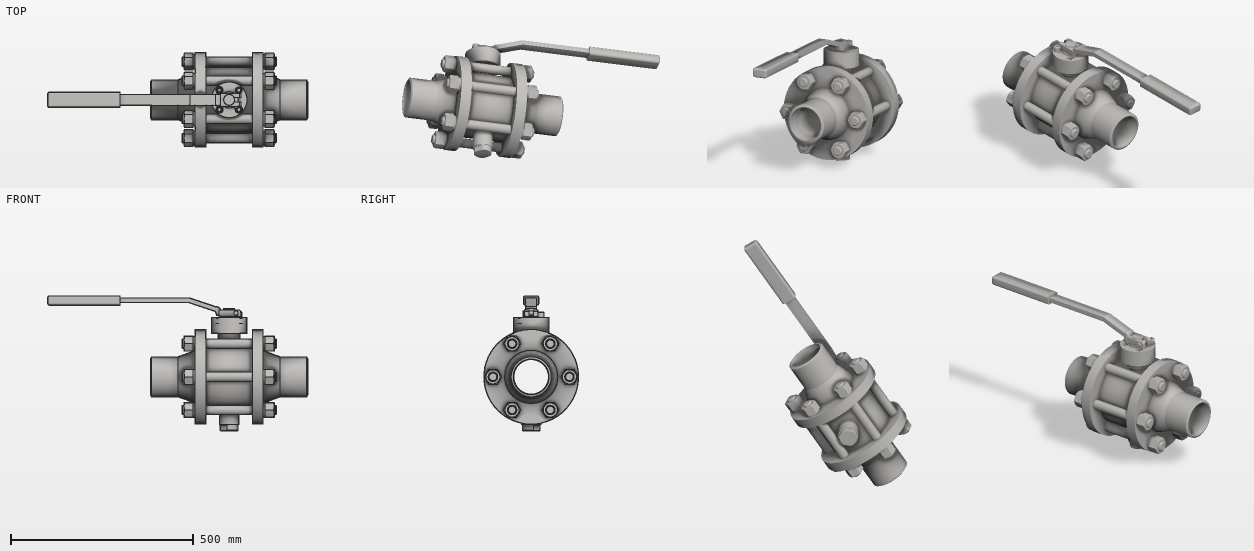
import cadquery as cq
import math


pipe_outer_dia = 110
bore_dia = 95
pipe_end_x = 216
weld_bevel_length = 3.5
weld_face_dia = 98
cone_start_x = 140
cone_base_dia = 146
flange_dia = 260
flange_outer_x = 93
flange_inner_x = 64
body_dia = 180

rod_count = 6
rod_circle_radius = 105
rod_dia = 26
rod_end_x = 130
rod_end_chamfer = 2.5
nut_across_flats = 41
nut_face_dia = 39
nut_chamfer_angle = math.radians(30)
nut_outer_x = 124
washer_outer_x = 99
washer_dia = 40

neck_dia = 61
neck_bottom_z = 100.5
waist_dia = 46
skirt_top_z = 89.5
skirt_bottom_z = 86
mount_dia = 98
mount_bottom_z = 119
mount_top_z = 163
stem_dia = 30
stem_top_z = 187
stem_collar_dia = 45
stem_collar_height = 3

screw_offset = 26.5
screw_head_dia = 18
screw_head_height = 15
screw_head_chamfer = 1.5
screw_socket_across_flats = 10
screw_socket_depth = 6
screw_recess_dia = 20
screw_recess_depth = 16

boss_dia = 54
boss_bottom_z = -131
plug_dia = 49
plug_bottom_z = -148
plug_chamfer = 1.5
plug_flat_distance = 21.2
plug_flat_gap = 3
plug_flat_angles = (45, 225)

hub_half_width = 18
hub_start_x = -28
hub_end_x = 32
hub_end_chamfer = 4
hub_bottom_z = mount_top_z + stem_collar_height
hub_top_z = 184
clamp_slot_width = 13
clamp_bolt_x = 19
clamp_bolt_z = 175
clamp_bolt_dia = 12
clamp_bolt_head = 4.5
bar_width = 30
bar_thickness = 13
bar_top_z = 216.5
bar_slope = math.radians(18.5)
bar_bend_x = -108
bar_heel_x = -38
bar_foot_x = -34
bar_foot_z = 168.5
bar_crest_x = -30.5
bar_crest_z = 191.5
bar_end_x = -23.5
bar_kink_x = -37.5
grip_left_x = -497.98
grip_length = 199
grip_width = 42
grip_height = 26
grip_top_z = 222.43
grip_edge_fillet = 6
grip_end_fillet = 5.5

hex_corner_ratio = 2 / math.sqrt(3)


def cylinder_x(dia, x_start, x_end):
    """Solid cylinder on the X axis."""
    return cq.Workplane("YZ", origin=(x_start, 0, 0)).circle(dia / 2).extrude(x_end - x_start)


def cylinder_z(dia, z_start, z_end, x=0, y=0):
    """Solid cylinder parallel to Z."""
    return cq.Workplane("XY", origin=(x, y, z_start)).circle(dia / 2).extrude(z_end - z_start)


def box_between(x_range, y_range, z_range):
    """Box given by its limits along X, Y and Z."""
    sizes = [high - low for low, high in (x_range, y_range, z_range)]
    corner = (x_range[0], y_range[0], z_range[0])
    return cq.Workplane("XY").box(*sizes, centered=False).translate(corner)


def end_piece():
    """Flange, cone and bevelled welding end on the +X side."""
    profile = [
        (flange_inner_x, 0),
        (flange_inner_x, flange_dia / 2),
        (flange_outer_x, flange_dia / 2),
        (flange_outer_x, cone_base_dia / 2),
        (cone_start_x, pipe_outer_dia / 2),
        (pipe_end_x - weld_bevel_length, pipe_outer_dia / 2),
        (pipe_end_x, weld_face_dia / 2),
        (pipe_end_x, 0),
    ]
    return cq.Workplane("XY").polyline(profile).close().revolve(360, (0, 0, 0), (1, 0, 0))


def nut():
    """Hexagon nut on the +X side with its outer corners turned off by a cone."""
    length = nut_outer_x - washer_outer_x
    corner_dia = nut_across_flats * hex_corner_ratio
    corner_width = (corner_dia - nut_face_dia) / 2
    corner_drop = corner_width * math.tan(nut_chamfer_angle)
    blank = cq.Workplane("YZ", origin=(washer_outer_x, 0, 0)).polygon(6, corner_dia).extrude(length)
    turned = cylinder_x(corner_dia, washer_outer_x, nut_outer_x)
    turned = turned.faces(">X").chamfer(corner_drop, corner_width)
    return blank.intersect(turned)


def tie_rod():
    """One rod with a washer and a nut on each end, centred on the X axis."""
    rod = cylinder_x(rod_dia, -rod_end_x, rod_end_x).faces("<X or >X").chamfer(rod_end_chamfer)
    fastener = nut().union(cylinder_x(washer_dia, flange_outer_x, washer_outer_x))
    return rod.union(fastener).union(fastener.mirror("YZ"))


def flow_line():
    """Centre body between the two mirrored end pieces, with the tie rods around it."""
    shape = cylinder_x(body_dia, -flange_inner_x, flange_inner_x)
    shape = shape.union(end_piece()).union(end_piece().mirror("YZ"))
    for index in range(rod_count):
        angle = 2 * math.pi * index / rod_count
        y = rod_circle_radius * math.cos(angle)
        z = rod_circle_radius * math.sin(angle)
        shape = shape.union(tie_rod().translate((0, y, z)))
    return shape


def cap_screw(x, y, seat_z):
    """Head of a socket screw standing on seat_z."""
    head = cylinder_z(screw_head_dia, seat_z, seat_z + screw_head_height, x, y)
    head = head.faces(">Z").chamfer(screw_head_chamfer)
    socket_start = (x, y, seat_z + screw_head_height - screw_socket_depth)
    socket = cq.Workplane("XY", origin=socket_start)
    socket = socket.polygon(6, screw_socket_across_flats * hex_corner_ratio).extrude(screw_socket_depth)
    return head.cut(socket)


def waisted_neck():
    """Round neck with a narrower waist that flares onto the body in a conical skirt."""
    profile = [
        (0, 0),
        (neck_dia / 2, 0),
        (neck_dia / 2, skirt_bottom_z),
        (waist_dia / 2, skirt_top_z),
        (waist_dia / 2, neck_bottom_z),
        (neck_dia / 2, neck_bottom_z),
        (neck_dia / 2, mount_bottom_z),
        (0, mount_bottom_z),
    ]
    return cq.Workplane("XZ").polyline(profile).close().revolve(360, (0, 0, 0), (0, 1, 0))


def stem_column():
    """Neck, round mount with cap screws, collar and stem."""
    column = waisted_neck().union(cylinder_z(mount_dia, mount_bottom_z, mount_top_z))
    recess_z = mount_top_z - screw_recess_depth
    for x_sign in (-1, 1):
        for y_sign in (-1, 1):
            x = x_sign * screw_offset
            y = y_sign * screw_offset
            if x_sign > 0 and y_sign > 0:
                column = column.union(cap_screw(x, y, mount_top_z))
                continue
            column = column.cut(cylinder_z(screw_recess_dia, recess_z, mount_top_z, x, y))
            column = column.union(cap_screw(x, y, recess_z))
    collar_top_z = mount_top_z + stem_collar_height
    column = column.union(cylinder_z(stem_collar_dia, mount_top_z, collar_top_z))
    return column.union(cylinder_z(stem_dia, mount_top_z, stem_top_z))


def bottom_plug():
    """Round boss under the body and its plug with two opposite wrench flats."""
    boss = cylinder_z(boss_dia, boss_bottom_z, 0)
    plug = cylinder_z(plug_dia, plug_bottom_z, boss_bottom_z).faces("<Z").chamfer(plug_chamfer)
    flat_range_z = (plug_bottom_z, boss_bottom_z - plug_flat_gap)
    side = box_between((plug_flat_distance, plug_dia), (-plug_dia, plug_dia), flat_range_z)
    for angle in plug_flat_angles:
        plug = plug.cut(side.rotate((0, 0, 0), (0, 0, 1), angle))
    return boss.union(plug)


def clamp_hub():
    """Split hub around the stem, closed by a cross bolt."""
    width_range = (-hub_half_width, hub_half_width)
    hub = box_between((hub_start_x, hub_end_x), width_range, (hub_bottom_z, hub_top_z))
    hub = hub.faces(">X").edges(">Z").chamfer(hub_end_chamfer)
    slot_range_y = (-clamp_slot_width / 2, clamp_slot_width / 2)
    hub = hub.cut(box_between((0, hub_end_x), slot_range_y, (hub_bottom_z, hub_top_z)))
    bolt_start = (clamp_bolt_x, hub_half_width, clamp_bolt_z)
    bolt_length = 2 * hub_half_width + clamp_bolt_head
    bolt = cq.Workplane("XZ", origin=bolt_start).circle(clamp_bolt_dia / 2).extrude(bolt_length)
    return hub.union(bolt)


def lever_bar():
    """Flat bar cranked down from the grip to the hub."""
    grip_right_x = grip_left_x + grip_length
    bar_bottom_z = bar_top_z - bar_thickness
    bottom_bend_x = bar_bend_x - bar_thickness * math.tan(bar_slope / 2)
    kink_z = bar_top_z - (bar_kink_x - bar_bend_x) * math.tan(bar_slope)
    heel_z = bar_bottom_z - (bar_heel_x - bottom_bend_x) * math.tan(bar_slope)
    outline = (
        cq.Workplane("XZ")
        .moveTo(grip_right_x, bar_top_z)
        .lineTo(bar_bend_x, bar_top_z)
        .lineTo(bar_kink_x, kink_z)
        .threePointArc((bar_crest_x, bar_crest_z), (bar_end_x, hub_top_z))
        .lineTo(bar_end_x, bar_foot_z)
        .lineTo(bar_foot_x, bar_foot_z)
        .lineTo(bar_heel_x, heel_z)
        .lineTo(bottom_bend_x, bar_bottom_z)
        .lineTo(grip_right_x, bar_bottom_z)
        .close()
    )
    return outline.extrude(bar_width / 2, both=True)


def grip():
    """Rounded handle sleeve over the free end of the bar."""
    sleeve = box_between(
        (grip_left_x, grip_left_x + grip_length),
        (-grip_width / 2, grip_width / 2),
        (grip_top_z - grip_height, grip_top_z),
    )
    return sleeve.edges("|X").fillet(grip_edge_fillet).faces("<X").edges().fillet(grip_end_fillet)


valve = flow_line().union(stem_column()).union(bottom_plug())
valve = valve.cut(cylinder_x(bore_dia, -pipe_end_x, pipe_end_x))
result = valve.union(clamp_hub()).union(lever_bar()).union(grip())